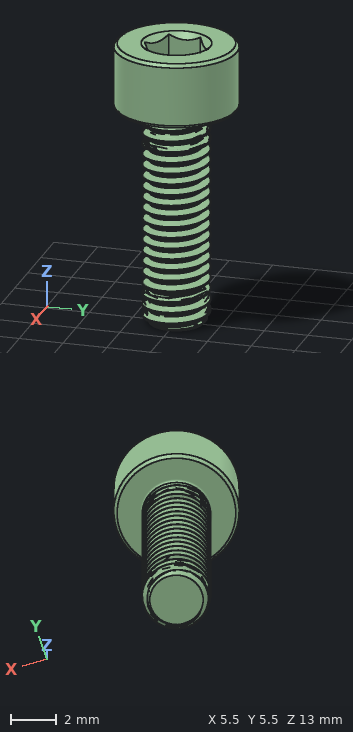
import cadquery as cq
import math


head_diameter = 5.5
head_height = 3.0
head_chamfer = 0.15

socket_across_flats = 2.5
socket_depth = 2.1
socket_mouth_diameter = 3.1
socket_countersink_angle = 45.0

shank_diameter = 3.0
shank_length = 10.0
tip_chamfer = 0.33
shank_embed = 0.5
neck_fillet = 0.1

thread_pitch = 0.5
thread_flank_angle = 30.0
thread_depth = 0.32
thread_crest_width = thread_pitch / 8
neck_height = 0.12
runout_height = 0.24
groove_overcut = 0.03
groove_phase = 0.17
groove_extra_turns = 2.2

shank_radius = shank_diameter / 2
root_radius = shank_radius - thread_depth


def make_head():
    """Cylindrical head with both rims chamfered."""
    head = cq.Workplane("XY").circle(head_diameter / 2).extrude(head_height)
    return head.faces("<Z or >Z").chamfer(head_chamfer)


def make_socket():
    """Hexagonal pocket, flats facing +X and -X, with a conical mouth."""
    across_corners = socket_across_flats / math.cos(math.radians(30))
    hexagon = (
        cq.Workplane("XY", origin=(0, 0, head_height))
        .transformed(rotate=(0, 0, 90))
        .polygon(6, across_corners)
        .extrude(-socket_depth)
    )
    mouth_radius = socket_mouth_diameter / 2
    cone_depth = mouth_radius / math.tan(math.radians(socket_countersink_angle))
    cone = (
        cq.Workplane("XZ")
        .moveTo(0, head_height)
        .lineTo(mouth_radius, head_height)
        .lineTo(0, head_height - cone_depth)
        .close()
        .revolve(360, (0, 0, 0), (0, 1, 0))
    )
    pocket_space = (
        cq.Workplane("XY", origin=(0, 0, head_height))
        .circle(mouth_radius)
        .extrude(-socket_depth)
    )
    return hexagon.union(cone.intersect(pocket_space))


def make_thread_groove():
    """Right-handed helical groove of trapezoidal section, slightly overcut past the crests."""
    flank_slope = math.tan(math.radians(thread_flank_angle))
    outer_radius = shank_radius + groove_overcut
    crest_half_width = (thread_pitch - thread_crest_width) / 2
    outer_half_width = crest_half_width + groove_overcut * flank_slope
    root_half_width = crest_half_width - thread_depth * flank_slope

    start_z = -shank_length + groove_phase - thread_pitch
    length = shank_length - thread_pitch + groove_extra_turns * thread_pitch
    helix = cq.Wire.makeHelix(thread_pitch, length, root_radius, center=cq.Vector(0, 0, start_z))
    swept = (
        cq.Workplane("XZ")
        .moveTo(root_radius, start_z - root_half_width)
        .lineTo(outer_radius, start_z - outer_half_width)
        .lineTo(outer_radius, start_z + outer_half_width)
        .lineTo(root_radius, start_z + root_half_width)
        .close()
        .sweep(cq.Workplane(obj=helix), isFrenet=True)
    )
    return cq.Workplane(obj=cq.Solid.makeSolid(swept.val().Shells()[0]))


def make_shank():
    """Threaded shank with a chamfered tip."""
    blank = (
        cq.Workplane("XY", origin=(0, 0, shank_embed))
        .circle(shank_radius)
        .extrude(-shank_length - shank_embed)
    )
    blank = blank.faces("<Z").chamfer(tip_chamfer)
    return blank.cut(make_thread_groove())


def make_neck():
    """Plain neck filleted into the head, tapering below to the thread root."""
    return (
        cq.Workplane("XZ")
        .lineTo(shank_radius + neck_fillet, 0)
        .radiusArc((shank_radius, -neck_fillet), -neck_fillet)
        .lineTo(shank_radius, -neck_height)
        .lineTo(root_radius, -neck_height - runout_height)
        .lineTo(0, -neck_height - runout_height)
        .close()
        .revolve(360, (0, 0, 0), (0, 1, 0))
    )


result = make_shank().union(make_neck()).union(make_head()).cut(make_socket())